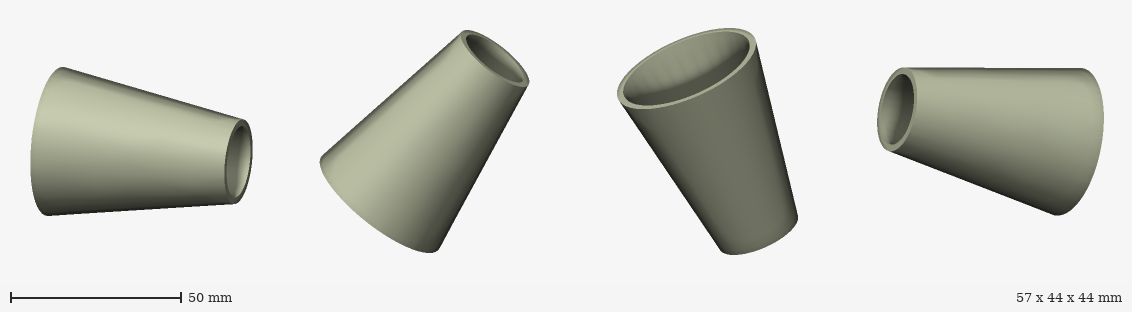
import cadquery as cq

length = 57.0
wide_outer_diameter = 44.0
narrow_outer_diameter = 25.0
wall = 2.0

wide_outer_radius = wide_outer_diameter / 2
narrow_outer_radius = narrow_outer_diameter / 2

wall_section = (
    cq.Workplane("XZ")
    .moveTo(0, wide_outer_radius - wall)
    .lineTo(0, wide_outer_radius)
    .lineTo(length, narrow_outer_radius)
    .lineTo(length, narrow_outer_radius - wall)
    .close()
)

result = wall_section.revolve(360, (0, 0, 0), (1, 0, 0))